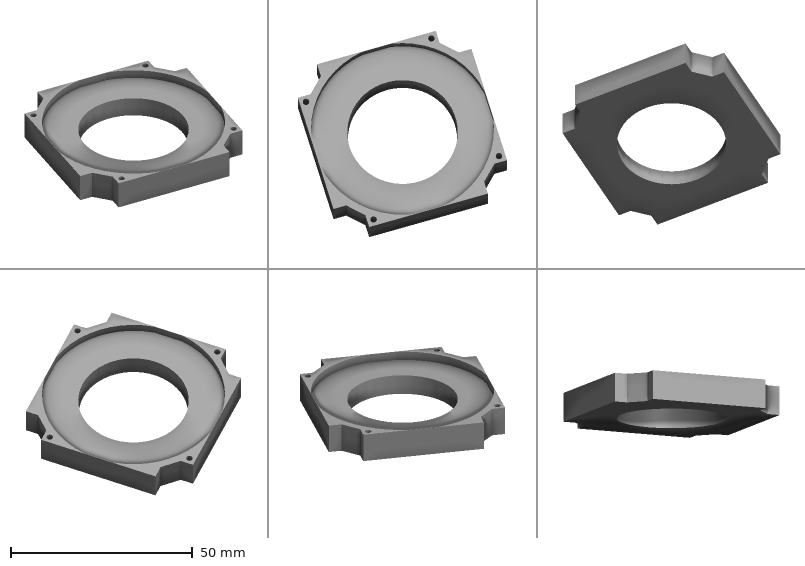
import cadquery as cq

side = 49.8
height = 8.0
half_side = side / 2

notch_start = 17.05
notch_depth = 3.65
step = half_side - notch_depth

recess_diameter = 50.3
recess_depth = 2.5
thin_wall = 0.1

bore_top_diameter = 30.4
bore_bottom_diameter = 30.0
floor_height = height - recess_depth

hole_diameter = 1.8
hole_depth = 5.0
hole_along = 15.25
hole_across = 23.1


def make_frame():
    """Square block with the same stepped relief at all four corners."""
    corner = [
        (half_side, notch_start),
        (step, notch_start),
        (notch_start, step),
        (notch_start, half_side),
    ]
    outline = []
    for _ in range(4):
        outline += corner
        corner = [(-y, x) for x, y in corner]
    return cq.Workplane("XY").polyline(outline).close().extrude(height)


def make_recess():
    """Disc with four flats, set on the recess floor."""
    inner_side = side - 2 * thin_wall
    floor = cq.Workplane("XY").workplane(offset=floor_height)
    disc = floor.circle(recess_diameter / 2).extrude(recess_depth)
    flats = floor.rect(inner_side, inner_side).extrude(recess_depth)
    return disc.intersect(flats)


def make_bore():
    """Tapered plug from the underside up to the recess floor."""
    return (
        cq.Workplane("XY")
        .circle(bore_bottom_diameter / 2)
        .workplane(offset=floor_height)
        .circle(bore_top_diameter / 2)
        .loft(ruled=True)
    )


def make_screw_holes():
    """Four hole plugs in a quarter-turn pattern."""
    centers = [
        (hole_along, hole_across),
        (-hole_across, hole_along),
        (-hole_along, -hole_across),
        (hole_across, -hole_along),
    ]
    return (
        cq.Workplane("XY")
        .workplane(offset=height - hole_depth)
        .pushPoints(centers)
        .circle(hole_diameter / 2)
        .extrude(hole_depth)
    )


result = make_frame().cut(make_recess()).cut(make_bore()).cut(make_screw_holes())